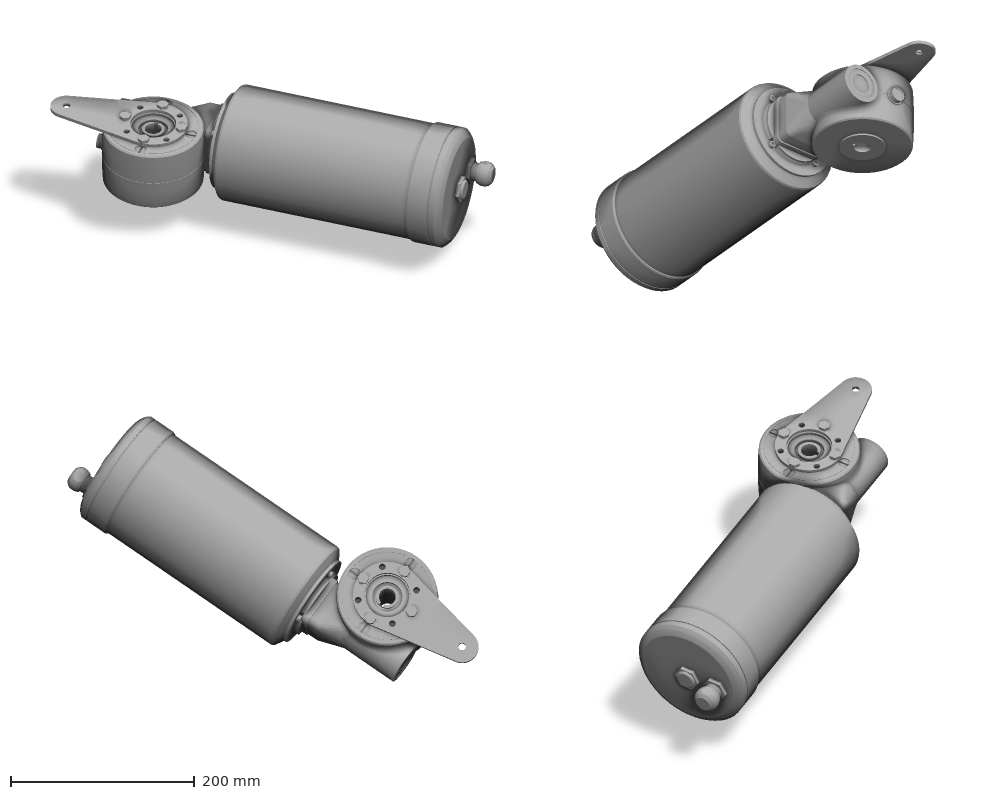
import cadquery as cq
import math

MOTOR_Y = 44.5

HOUSING_HALF_HEIGHT = 35.0
HOUSING_END_RADIUS = 55.0
HOUSING_SEAM_RADIUS = 112.0 / 2
HOUSING_EDGE_CHAMFER = 1.5
COVER_DIAMETER = 99.0
COVER_GROOVE = 0.5
SEAM_WIDTH = 1.0
SEAM_DEPTH = 0.5
SEAM_END_Y = 14.5
SURFACE_SEAM_ANGLE = 200
LOWER_BOSS_DIAMETER = 50.0
LOWER_BOSS_HEIGHT = 2.0

WORM_START_X = -55.0
WORM_END_X = 10.5
WORM_RADIUS = 22.5
WORM_BLEND_RADIUS = 6.5
WORM_CAP_DIAMETERS = (35.5, 22.0)
WORM_CAP_STEP = 1.0
NECK_START_X = 41.5
TUBE_CORNER = 22.0
NECK_SIDE = 56.8
NECK_CORNER = 7.0
PLATE_START_X = 55.0
PLATE_SIDE = 59.5

FLANGE_X = 61.0
FLANGE_RIM_END_X = 64.0
FLANGE_RADIUS = 38.5
FLANGE_BASE_RADIUS = 41.0
MOTOR_FACE_X = 67.0
FACE_STEP = 3.5
FACE_RADIUS = 53.0
BODY_START_X = 76.5
BODY_EDGE_LENGTH = 2.5
BODY_EDGE_DROP = 1.0
BODY_RADIUS = 129.0 / 2
CAP_START_X = 297.0
CAP_EDGE_LENGTH = 2.0
CAP_EDGE_DROP = 1.0
CAP_RADIUS = 133.0 / 2
CAP_GROOVE_X = 322.5
CAP_GROOVE_WIDTH = 2.0
CAP_GROOVE_DEPTH = 1.0
CAP_SHOULDER_X = 329.0
CAP_END_X = 336.0
CAP_END_RADIUS = 56.8
CAP_BULGE = (333.0, 63.0)

FLANGE_SCREW_OFFSET = 30.0
FLANGE_SCREW_DIAMETER = 7.0
FLANGE_SCREW_HEIGHT = 4.0
FLANGE_SOCKET_DIAMETER = 4.15
FLANGE_SOCKET_DEPTH = 2.0
FLANGE_NOTCH_DIAMETER = 14.5

LEVER_THICKNESS = 4.0
LEVER_HUB_RADIUS = 37.5
LEVER_REACH = 99.5
LEVER_TIP_RADIUS = 18.0
LEVER_HOLE_DIAMETER = 8.0
LEVER_TOP = HOUSING_HALF_HEIGHT + LEVER_THICKNESS

BOLT_CIRCLE_RADIUS = 32.0
BOLT_ACROSS_FLATS = 11.0
BOLT_HEAD_HEIGHT = 4.0
SPARE_HOLE_DIAMETER = 7.0
SPARE_HOLE_DEPTH = 9.5

SCREW_CIRCLE_RADIUS = 43.5
SCREW_DIAMETER = 13.5
SCREW_RECESS = 1.5
SCREW_SLOT_WIDTH = 2.5
SCREW_SLOT_DEPTH = 2.0

LEVER_OPENING = 50.0
WELL_DIAMETER = 47.0
WELL_DEPTH = 7.0
HUB_GROOVE_DIAMETER = 32.5
HUB_GROOVE_DEPTH = 4.0
SHAFT_DIAMETER = 25.0
BORE_DIAMETER = 18.5
KEYWAY_WIDTH = 5.0
KEYWAY_REACH = 12.0

PLUG_END_X = -63.0
PLUG_DIAMETER = 16.5
PLUG_RECESS_DIAMETER = 13.5
PLUG_RECESS_DEPTH = 1.0
PLUG_COLLAR_DIAMETER = 18.8
PLUG_COLLAR_X = -57.0

CONNECTOR_OFFSET = 34.5
NUT_ACROSS_FLATS = 25.0
NUT_HEIGHT = 4.5
CAP_NUT_DOME_RADIUS = 11.0
CAP_NUT_DOME_HEIGHT = 3.0
CAP_NUT_DOME_ROUNDING = 2.5
STEM_RADIUS = 10.0
HEAD_START_X = 347.5
HEAD_END_X = 363.5
HEAD_RIM_RADIUS = 12.0
HEAD_SIDE_RADIUS = 27.5 / 2
HEAD_SIDE_START_X = 352.0
HEAD_SIDE_END_X = 357.5
HEAD_ACROSS_FLATS = 25.0
HEAD_CHAMFER_X = 360.8
HEAD_TIP_RADIUS = 8.5

OVERLAP = 2.5


def disc_x(x_start, x_end, radius, y=MOTOR_Y, z=0):
    """Round bar along X."""
    return cq.Workplane("YZ", origin=(x_start, y, z)).circle(radius).extrude(x_end - x_start)


def disc_z(x, y, z_start, z_end, radius):
    """Round bar along Z."""
    return cq.Workplane("XY", origin=(x, y, z_start)).circle(radius).extrude(z_end - z_start)


def hex_points(across_flats, turn):
    """Corners of a hexagon; turn is the angle of the first corner in degrees."""
    radius = across_flats / math.sqrt(3)
    angles = [math.radians(turn + 60 * i) for i in range(6)]
    return [(radius * math.cos(a), radius * math.sin(a)) for a in angles]


def hex_x(x_start, x_end, across_flats, y):
    """Hexagonal bar along X with corners pointing along Y."""
    corners = hex_points(across_flats, 0)
    return cq.Workplane("YZ", origin=(x_start, y, 0)).polyline(corners).close().extrude(x_end - x_start)


def turn_about_x(sketch, y):
    """Revolve an (X, radius) outline about the line parallel to X at the given Y."""
    return sketch.close().revolve(360, (0, 0, 0), (1, 0, 0)).translate((0, y, 0))


def on_circle(radius, angle):
    """Point on a circle about the origin, with the angle in degrees."""
    return radius * math.cos(math.radians(angle)), radius * math.sin(math.radians(angle))


def gear_housing():
    """Slightly barrelled drum about Z, its closing edge turned away from the worm tube."""
    half = HOUSING_HALF_HEIGHT
    outline = (
        cq.Workplane("XZ")
        .moveTo(0, -half)
        .lineTo(HOUSING_END_RADIUS, -half)
        .threePointArc((HOUSING_SEAM_RADIUS, 0), (HOUSING_END_RADIUS, half))
        .lineTo(0, half)
    )
    drum = outline.close().revolve(360, (0, 0, 0), (0, 1, 0))
    return drum.rotate((0, 0, 0), (0, 0, 1), SURFACE_SEAM_ANGLE)


def gear_and_worm_housing():
    """Gear housing with the worm tube blended into its side."""
    body = gear_housing().union(disc_x(WORM_START_X, PLATE_START_X, WORM_RADIUS))
    body = body.edges("%BSPLINE").fillet(WORM_BLEND_RADIUS)
    return body.faces("<Z or >Z").chamfer(HOUSING_EDGE_CHAMFER)


def seam_groove():
    """Fine groove at mid height of the gear housing, ending short of the worm tube."""
    outer = HOUSING_SEAM_RADIUS + OVERLAP
    half_width = SEAM_WIDTH / 2
    ring = disc_z(0, 0, -half_width, half_width, outer)
    ring = ring.cut(disc_z(0, 0, -half_width, half_width, HOUSING_SEAM_RADIUS - SEAM_DEPTH))
    kept_side = cq.Workplane("XY").box(2 * outer, 2 * outer, SEAM_WIDTH)
    return ring.intersect(kept_side.translate((0, SEAM_END_Y - outer, 0)))


def cover_groove():
    """Fine ring in the top face around the housing cover."""
    floor_z = HOUSING_HALF_HEIGHT - COVER_GROOVE
    ring = disc_z(0, 0, floor_z, HOUSING_HALF_HEIGHT, COVER_DIAMETER / 2)
    return ring.cut(disc_z(0, 0, floor_z, HOUSING_HALF_HEIGHT, COVER_DIAMETER / 2 - COVER_GROOVE))


def worm_cap_steps():
    """Stepped recess in the free end of the worm tube."""
    outer, inner = WORM_CAP_DIAMETERS
    cut = disc_x(WORM_START_X, WORM_START_X + WORM_CAP_STEP, outer / 2)
    return cut.union(disc_x(WORM_START_X, WORM_START_X + 2 * WORM_CAP_STEP, inner / 2))


def neck():
    """Round-to-square transition, square neck and mounting plate."""
    square = cq.Sketch().rect(NECK_SIDE, NECK_SIDE).vertices().fillet(NECK_CORNER)
    plate = cq.Sketch().rect(PLATE_SIDE, PLATE_SIDE).vertices().fillet(NECK_CORNER)
    tube = cq.Sketch().rect(2 * WORM_RADIUS, 2 * WORM_RADIUS).vertices().fillet(TUBE_CORNER)
    start = cq.Workplane("YZ", origin=(WORM_END_X, MOTOR_Y, 0))
    length = NECK_START_X - WORM_END_X
    transition = start.placeSketch(tube, square.moved(cq.Location(cq.Vector(0, 0, length)))).loft()
    straight = (cq.Workplane("YZ", origin=(NECK_START_X, MOTOR_Y, 0))
                .placeSketch(square).extrude(PLATE_START_X - NECK_START_X))
    flange = (cq.Workplane("YZ", origin=(PLATE_START_X, MOTOR_Y, 0))
              .placeSketch(plate).extrude(FLANGE_X + OVERLAP - PLATE_START_X))
    return transition.union(straight).union(flange)


def motor():
    """Motor body with end cap, turned about the motor axis."""
    groove_radius = CAP_RADIUS - CAP_GROOVE_DEPTH
    outline = (
        cq.Workplane("XY")
        .moveTo(MOTOR_FACE_X, 0)
        .lineTo(MOTOR_FACE_X, FACE_RADIUS)
        .lineTo(MOTOR_FACE_X + FACE_STEP, FACE_RADIUS)
        .lineTo(BODY_START_X, BODY_RADIUS - BODY_EDGE_DROP)
        .lineTo(BODY_START_X + BODY_EDGE_LENGTH, BODY_RADIUS)
        .lineTo(CAP_START_X, BODY_RADIUS)
        .lineTo(CAP_START_X, CAP_RADIUS - CAP_EDGE_DROP)
        .lineTo(CAP_START_X + CAP_EDGE_LENGTH, CAP_RADIUS)
        .lineTo(CAP_GROOVE_X - CAP_GROOVE_WIDTH / 2, CAP_RADIUS)
        .lineTo(CAP_GROOVE_X - CAP_GROOVE_WIDTH / 2, groove_radius)
        .lineTo(CAP_GROOVE_X + CAP_GROOVE_WIDTH / 2, groove_radius)
        .lineTo(CAP_GROOVE_X + CAP_GROOVE_WIDTH / 2, CAP_RADIUS)
        .lineTo(CAP_SHOULDER_X, CAP_RADIUS)
        .threePointArc(CAP_BULGE, (CAP_END_X, CAP_END_RADIUS))
        .lineTo(CAP_END_X, 0)
    )
    return turn_about_x(outline, MOTOR_Y)


def motor_flange():
    """Conical flange, notched around its four screws."""
    end_x = MOTOR_FACE_X + OVERLAP
    outline = (
        cq.Workplane("XY")
        .moveTo(FLANGE_X, 0)
        .lineTo(FLANGE_X, FLANGE_RADIUS)
        .lineTo(FLANGE_RIM_END_X, FLANGE_RADIUS)
        .lineTo(MOTOR_FACE_X, FLANGE_BASE_RADIUS)
        .lineTo(end_x, FLANGE_BASE_RADIUS)
        .lineTo(end_x, 0)
    )
    flange = turn_about_x(outline, MOTOR_Y)
    head_x = MOTOR_FACE_X - FLANGE_SCREW_HEIGHT
    corners = [(sy * FLANGE_SCREW_OFFSET, sz * FLANGE_SCREW_OFFSET) for sy in (-1, 1) for sz in (-1, 1)]
    for y, z in corners:
        flange = flange.cut(disc_x(FLANGE_X, MOTOR_FACE_X, FLANGE_NOTCH_DIAMETER / 2, MOTOR_Y + y, z))
    for y, z in corners:
        flange = flange.union(disc_x(head_x, end_x, FLANGE_SCREW_DIAMETER / 2, MOTOR_Y + y, z))
        socket_end = head_x + FLANGE_SOCKET_DEPTH
        flange = flange.cut(disc_x(head_x, socket_end, FLANGE_SOCKET_DIAMETER / 2, MOTOR_Y + y, z))
    return flange


def lever():
    """Flat arm: a large and a small arc joined by their common tangents."""
    tangent_angle = 180 - math.degrees(math.acos((LEVER_HUB_RADIUS - LEVER_TIP_RADIUS) / LEVER_REACH))
    hub_x, hub_y = on_circle(LEVER_HUB_RADIUS, tangent_angle)
    tip_dx, tip_y = on_circle(LEVER_TIP_RADIUS, tangent_angle)
    tip_x = tip_dx - LEVER_REACH
    plate = (
        cq.Workplane("XY", origin=(0, 0, HOUSING_HALF_HEIGHT))
        .moveTo(hub_x, hub_y)
        .threePointArc((LEVER_HUB_RADIUS, 0), (hub_x, -hub_y))
        .lineTo(tip_x, -tip_y)
        .threePointArc((-LEVER_REACH - LEVER_TIP_RADIUS, 0), (tip_x, tip_y))
        .close()
        .extrude(LEVER_THICKNESS)
    )
    return plate.cut(disc_z(-LEVER_REACH, 0, HOUSING_HALF_HEIGHT, LEVER_TOP, LEVER_HOLE_DIAMETER / 2))


def lever_bolts():
    """Four hexagon heads on the lever, corners pointing along Y."""
    spots = [on_circle(BOLT_CIRCLE_RADIUS, angle) for angle in (0, 90, 180, 270)]
    height = LEVER_THICKNESS + BOLT_HEAD_HEIGHT
    head = (cq.Workplane("XY", origin=(0, 0, HOUSING_HALF_HEIGHT))
            .polyline(hex_points(BOLT_ACROSS_FLATS, 90)).close().extrude(height))
    heads = cq.Workplane("XY")
    for x, y in spots:
        heads = heads.add(head.translate((x, y, 0)))
    return heads.combine()


def spare_holes():
    """Four blind holes between the lever bolts."""
    holes = cq.Workplane("XY")
    for angle in (45, 135, 225, 315):
        x, y = on_circle(BOLT_CIRCLE_RADIUS, angle)
        holes = holes.add(disc_z(x, y, LEVER_TOP - SPARE_HOLE_DEPTH, LEVER_TOP, SPARE_HOLE_DIAMETER / 2))
    return holes.combine()


def housing_screw_recesses():
    """Sunk, slotted screw heads around the lever hub."""
    recesses = cq.Workplane("XY")
    slot_height = SCREW_RECESS + SCREW_SLOT_DEPTH
    slot_floor = HOUSING_HALF_HEIGHT - slot_height
    slot = cq.Workplane("XY").box(
        SCREW_DIAMETER, SCREW_SLOT_WIDTH, slot_height, centered=(True, True, False))
    for angle in (0, 90, 270):
        recess = disc_z(SCREW_CIRCLE_RADIUS, 0, HOUSING_HALF_HEIGHT - SCREW_RECESS,
                        HOUSING_HALF_HEIGHT, SCREW_DIAMETER / 2)
        recess = recess.union(slot.translate((SCREW_CIRCLE_RADIUS, 0, slot_floor)))
        recesses = recesses.add(recess.rotate((0, 0, 0), (0, 0, 1), angle))
    return recesses.combine()


def shaft_opening():
    """Stepped well, groove around the hollow shaft, and its keyed through bore."""
    floor_z = LEVER_TOP - WELL_DEPTH
    bottom_z = -HOUSING_HALF_HEIGHT - LOWER_BOSS_HEIGHT
    outline = [
        (0, LEVER_TOP),
        (LEVER_OPENING / 2, LEVER_TOP),
        (LEVER_OPENING / 2, HOUSING_HALF_HEIGHT),
        (WELL_DIAMETER / 2, HOUSING_HALF_HEIGHT),
        (WELL_DIAMETER / 2, floor_z),
        (HUB_GROOVE_DIAMETER / 2, floor_z),
        (HUB_GROOVE_DIAMETER / 2, floor_z - HUB_GROOVE_DEPTH),
        (SHAFT_DIAMETER / 2, floor_z - HUB_GROOVE_DEPTH),
        (SHAFT_DIAMETER / 2, floor_z),
        (BORE_DIAMETER / 2, floor_z),
        (BORE_DIAMETER / 2, bottom_z),
        (0, bottom_z),
    ]
    opening = cq.Workplane("XZ").polyline(outline).close().revolve(360, (0, 0, 0), (0, 1, 0))
    keyway = cq.Workplane("XY", origin=(0, 0, bottom_z)).box(
        KEYWAY_WIDTH, KEYWAY_REACH, floor_z - bottom_z, centered=(True, False, False))
    return opening.union(keyway)


def side_plug():
    """Round plug with a collar and a shallow recess in its end."""
    plug = disc_x(PLUG_END_X, WORM_START_X + OVERLAP, PLUG_DIAMETER / 2, 0)
    plug = plug.union(disc_x(PLUG_COLLAR_X, WORM_START_X + OVERLAP, PLUG_COLLAR_DIAMETER / 2, 0))
    return plug.cut(disc_x(PLUG_END_X, PLUG_END_X + PLUG_RECESS_DEPTH, PLUG_RECESS_DIAMETER / 2, 0))


def cap_nut():
    """Hexagon nut with a domed end, on the motor axis."""
    nut_end = CAP_END_X + NUT_HEIGHT
    nut = hex_x(CAP_END_X - OVERLAP, nut_end, NUT_ACROSS_FLATS, MOTOR_Y)
    dome = disc_x(nut_end, nut_end + CAP_NUT_DOME_HEIGHT, CAP_NUT_DOME_RADIUS)
    return nut.union(dome.faces(">X").edges().fillet(CAP_NUT_DOME_ROUNDING))


def connector():
    """Cable connector: hexagon base, round stem and barrel-shaped head with two flats."""
    y = MOTOR_Y + CONNECTOR_OFFSET
    base = hex_x(CAP_END_X - OVERLAP, CAP_END_X + NUT_HEIGHT, NUT_ACROSS_FLATS, y)
    stem = disc_x(CAP_END_X, HEAD_START_X + OVERLAP, STEM_RADIUS, y)
    barrel = (
        cq.Workplane("XY")
        .moveTo(HEAD_START_X, 0)
        .lineTo(HEAD_START_X, HEAD_RIM_RADIUS)
        .lineTo(HEAD_SIDE_START_X, HEAD_SIDE_RADIUS)
        .lineTo(HEAD_SIDE_END_X, HEAD_SIDE_RADIUS)
        .lineTo(HEAD_CHAMFER_X, HEAD_RIM_RADIUS)
        .lineTo(HEAD_END_X, HEAD_TIP_RADIUS)
        .lineTo(HEAD_END_X, 0)
    )
    between_flats = cq.Workplane("XY").box(
        HEAD_END_X - HEAD_START_X, 2 * HEAD_SIDE_RADIUS, HEAD_ACROSS_FLATS, centered=(False, True, True))
    head = turn_about_x(barrel, y).intersect(between_flats.translate((HEAD_START_X, y, 0)))
    return base.union(stem).union(head)


case = gear_and_worm_housing().cut(seam_groove()).cut(cover_groove())
case = case.cut(worm_cap_steps()).cut(housing_screw_recesses())
case = case.union(neck())
case = case.union(disc_z(0, 0, -HOUSING_HALF_HEIGHT - LOWER_BOSS_HEIGHT, 0, LOWER_BOSS_DIAMETER / 2))
case = case.union(side_plug())

case = case.union(lever()).union(lever_bolts())
case = case.cut(spare_holes()).cut(shaft_opening())

result = case.union(motor_flange()).union(motor()).union(cap_nut()).union(connector())